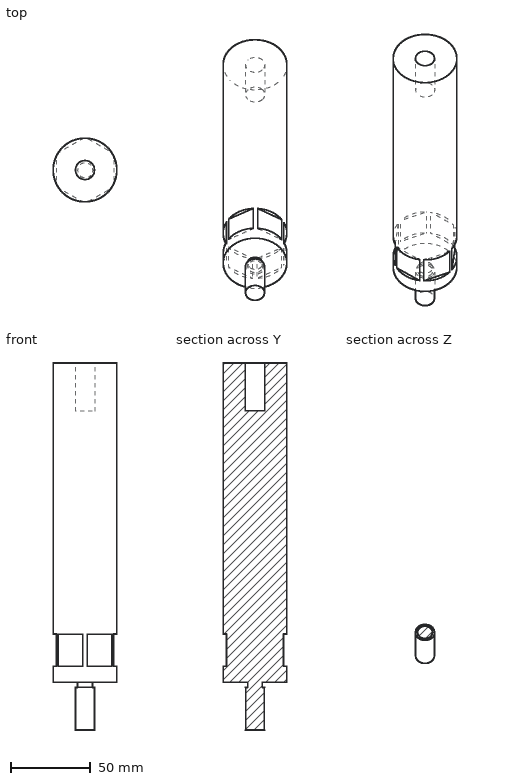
import cadquery as cq
import math

total_length = 230.0
body_diameter = 40.0

stud_length = 30.0
stud_diameter = 12.0
neck_length = 3.2
neck_diameter = 9.5

collar_height = 10.1
flat_height = 20.0
across_flats = 35.9
flat_count = 6

socket_diameter = stud_diameter
socket_depth = stud_length

flats_bottom = stud_length + collar_height


def cylinder(diameter, bottom, height):
    return cq.Workplane("XY").workplane(offset=bottom).circle(diameter / 2).extrude(height)


def wrench_flat_cutter():
    """Ring around a hexagon that has two of its flats facing +X and -X."""
    across_corners = across_flats / math.cos(math.pi / flat_count)
    half_side_angle = 180 / flat_count
    hexagon = (
        cq.Workplane("XY")
        .polygon(flat_count, across_corners)
        .extrude(flat_height)
        .rotate((0, 0, 0), (0, 0, 1), half_side_angle)
        .translate((0, 0, flats_bottom))
    )
    return cylinder(2 * body_diameter, flats_bottom, flat_height).cut(hexagon)


stud = cylinder(stud_diameter, 0, stud_length - neck_length)
neck = cylinder(neck_diameter, stud_length - neck_length, neck_length)
body = cylinder(body_diameter, stud_length, total_length - stud_length)
socket = cylinder(socket_diameter, total_length - socket_depth, socket_depth)

body = body.cut(wrench_flat_cutter()).cut(socket)
result = body.union(neck).union(stud)